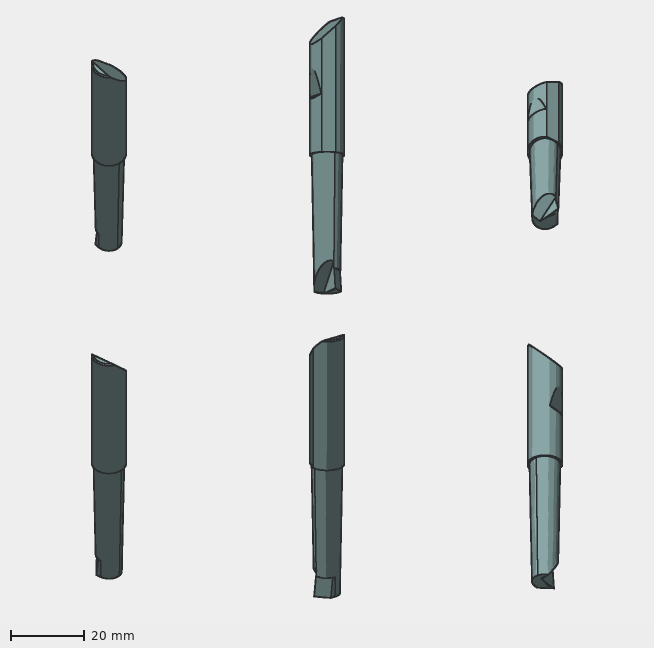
import cadquery as cq
import math

LENGTH = 76.2
SHANK_DIAMETER = 9.5
SHANK_RADIUS = SHANK_DIAMETER / 2
SHANK_BOTTOM = 38.1

TOP_FLAT_Y = -3.0
TOP_CHAMFER_WIDTH = 0.45
TOP_CHAMFER_HEIGHT = 0.3

FLAT_START_ANGLE = 180.0
FLAT_END_ANGLE = 132.7

NOTCH_TOP = 61.7
NOTCH_DEEPEST = 54.3
NOTCH_BOTTOM = 53.35
NOTCH_DEPTH = 1.15

NECK_TOP_RADIUS = 4.3
NECK_END_RADIUS = 3.6
NECK_BACK_SHIFT = 0.1

TIP_HEIGHT = 6.0
TIP_REACH = 4.5
TIP_LEAN = 0.7
FLANK_RUN = 3.0
TIP_HEEL_Y = -3.65

POCKET_TOP = 7.9
POCKET_SLOPE = 0.7
POCKET_SKEW = 0.23

END_RELIEF = 0.06

BIG = 4 * SHANK_RADIUS


def through_x(points):
    """Closed (Y, Z) outline extruded across the whole part along X."""
    return cq.Workplane("YZ").polyline(points).close().extrude(BIG, both=True)


def turned(points):
    """Closed (radius, Z) outline revolved around the Z axis."""
    return cq.Workplane("XZ").polyline(points).close().revolve(360, (0, 0, 0), (0, 1, 0))


def top_chamfer():
    return turned([
        (SHANK_RADIUS - TOP_CHAMFER_WIDTH, LENGTH),
        (SHANK_RADIUS, LENGTH),
        (SHANK_RADIUS, LENGTH - TOP_CHAMFER_HEIGHT),
    ])


def top_slope():
    return through_x([
        (TOP_FLAT_Y, LENGTH),
        (TOP_FLAT_Y + BIG, LENGTH - BIG),
        (TOP_FLAT_Y + BIG, LENGTH),
    ])


def clamping_notch():
    return through_x([
        (SHANK_RADIUS, NOTCH_TOP),
        (SHANK_RADIUS - NOTCH_DEPTH, NOTCH_DEEPEST),
        (SHANK_RADIUS, NOTCH_BOTTOM),
    ])


def side_flat():
    """Block whose inner side is the chord between the two flat angles."""
    middle = (FLAT_START_ANGLE + FLAT_END_ANGLE) / 2
    half_span = math.radians(FLAT_START_ANGLE - FLAT_END_ANGLE) / 2
    distance = SHANK_RADIUS * math.cos(half_span)
    block = cq.Workplane("XY").box(BIG, BIG, LENGTH, centered=(False, True, False))
    return block.translate((distance, 0, 0)).rotate((0, 0, 0), (0, 0, 1), middle)


def make_shank():
    base = cq.Workplane("XY").workplane(offset=SHANK_BOTTOM)
    shank = base.circle(SHANK_RADIUS).extrude(LENGTH - SHANK_BOTTOM)
    return shank.cut(top_chamfer()).cut(side_flat()).cut(top_slope()).cut(clamping_notch())


def half_space(side):
    """Large block on the +Y (side = 1) or -Y (side = -1) side of the plane Y = 0."""
    block = cq.Workplane("XY").box(BIG, BIG, LENGTH, centered=(True, True, False))
    return block.translate((0, side * BIG / 2, 0))


def make_neck():
    cone = cq.Workplane(cq.Solid.makeCone(NECK_END_RADIUS, NECK_TOP_RADIUS, SHANK_BOTTOM))
    front = cone.intersect(half_space(-1))
    back = cone.translate((0, -NECK_BACK_SHIFT, 0)).intersect(half_space(1))
    return front.union(back)


def chip_pocket():
    """Everything behind the rake face and outside the sloped pocket floor."""
    radius_at_top = NECK_END_RADIUS + (NECK_TOP_RADIUS - NECK_END_RADIUS) * POCKET_TOP / SHANK_BOTTOM

    def section(plane, y):
        top_x = -radius_at_top + POCKET_SKEW * y
        return plane.polyline([
            (top_x - BIG, -BIG),
            (top_x + POCKET_SLOPE * (POCKET_TOP + BIG), -BIG),
            (top_x - POCKET_SLOPE * BIG, POCKET_TOP + BIG),
            (top_x - BIG, POCKET_TOP + BIG),
        ]).close()

    near = section(cq.Workplane("XZ"), 0)
    return section(near.workplane(offset=-BIG), BIG).loft(ruled=True)


def tip_section(plane, reach):
    return plane.polyline([
        (-reach, 0),
        (FLANK_RUN - reach, TIP_HEEL_Y),
        (0, TIP_HEEL_Y),
        (0, 0),
    ]).close()


def make_tip():
    end = tip_section(cq.Workplane("XY"), TIP_REACH)
    return tip_section(end.workplane(offset=TIP_HEIGHT), TIP_REACH - TIP_LEAN).loft(ruled=True)


def end_relief():
    """Shallow cone that leaves only the centre of the end at Z = 0."""
    return turned([(0, 0), (BIG, END_RELIEF * BIG), (BIG, -BIG), (0, -BIG)])


def tip_seat():
    """Quarter of the neck end that gives way to the cutting tip."""
    block = cq.Workplane("XY").box(BIG, BIG, TIP_HEIGHT, centered=False)
    return block.translate((-BIG, -BIG, 0))


bar = make_neck().cut(tip_seat()).cut(chip_pocket()).union(make_tip()).cut(end_relief())
result = make_shank().union(bar)